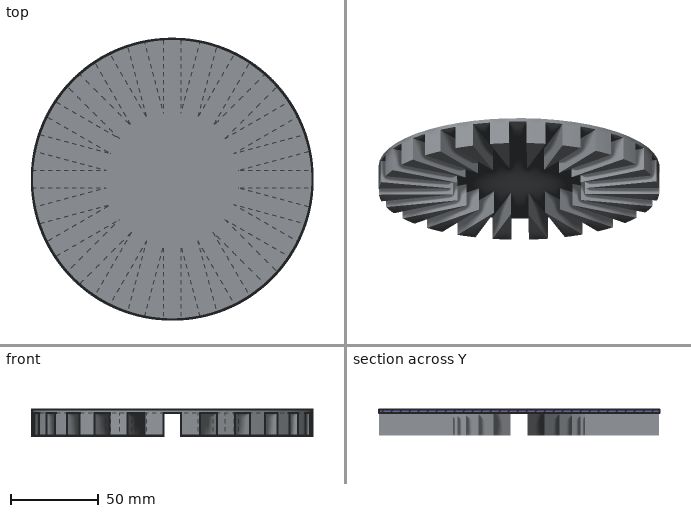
import cadquery as cq

diameter = 160.0
height = 15.0
plate_thickness = 2.0
slot_width = 10.0
slot_count = 24

slot_depth = height - plate_thickness
slot_pitch = 360.0 / slot_count


def diametral_slot(angle):
    """Parallel-walled bar crossing the whole disc, open at the bottom face."""
    bar = cq.Workplane("XY").box(2 * diameter, slot_width, slot_depth, centered=(True, True, False))
    return bar.rotate((0, 0, 0), (0, 0, 1), angle)


result = cq.Workplane("XY").circle(diameter / 2).extrude(height)

for index in range(slot_count // 2):
    result = result.cut(diametral_slot(index * slot_pitch))